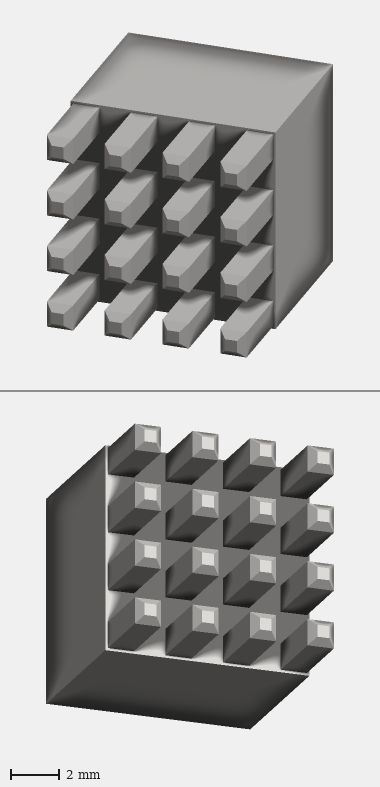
import cadquery as cq

body_width = 9.0
total_length = 10.5
body_length = 7.0

pins_per_side = 4
pin_pitch = 2.54
pin_width = 1.15
pin_length = total_length - body_length

tip_length = 0.3
tip_width = 0.52



def make_body():
    return cq.Workplane("XY").box(body_width, body_length, body_width, centered=(True, False, True))


def make_pin():
    """One pin on the Y axis, from the housing face to its tapered end."""
    shank_length = pin_length - tip_length
    shank = cq.Workplane("XZ").rect(pin_width, pin_width).extrude(shank_length)
    tip = (
        cq.Workplane("XZ", origin=(0, -shank_length, 0))
        .rect(pin_width, pin_width)
        .workplane(offset=tip_length)
        .rect(tip_width, tip_width)
        .loft(ruled=True)
    )
    return shank.union(tip)


result = make_body()
pin = make_pin()
first_pin = -(pins_per_side - 1) * pin_pitch / 2
for column in range(pins_per_side):
    for row in range(pins_per_side):
        x = first_pin + column * pin_pitch
        z = first_pin + row * pin_pitch
        result = result.union(pin.translate((x, 0, z)))